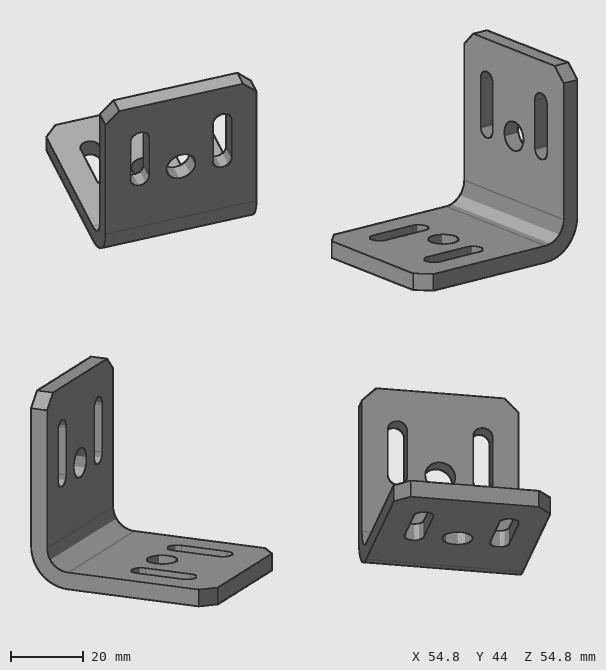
import cadquery as cq

length = 54.8
height = 54.75
width = 44.0
thickness = 4.9
inner_bend_radius = 6.3
outer_bend_radius = inner_bend_radius + thickness
corner_chamfer = 4.0

hole_diameter = 8.4
hole_from_end = 25.1
slot_length = 19.2
slot_width = 5.4
slot_from_end = 19.05
slot_spacing = 24.0



def bent_strip():
    """L-shaped strip with a concentric inner and outer bend."""
    block = cq.Workplane("XY").box(length, width, height, centered=(False, True, False))
    block = block.edges("|Y and >X and <Z").fillet(outer_bend_radius)
    inside = (
        cq.Workplane("XY")
        .box(length - thickness, width, height - thickness, centered=(False, True, False))
        .edges("|Y and >X and <Z")
        .fillet(inner_bend_radius)
        .translate((0, 0, thickness))
    )
    return block.cut(inside)


def leg_cutter(end_plane):
    """Round hole and two slots; the plane's X axis runs inward from the free end."""
    hole = (
        cq.Workplane(end_plane)
        .center(hole_from_end, 0)
        .circle(hole_diameter / 2)
        .extrude(thickness)
    )
    slots = (
        cq.Workplane(end_plane)
        .pushPoints([(slot_from_end, side * slot_spacing / 2) for side in (-1, 1)])
        .slot2D(slot_length, slot_width)
        .extrude(thickness)
    )
    return hole.union(slots)


horizontal_plane = cq.Plane(origin=(0, 0, 0), xDir=(1, 0, 0), normal=(0, 0, 1))
vertical_plane = cq.Plane(origin=(length, 0, height), xDir=(0, 0, -1), normal=(-1, 0, 0))

result = bent_strip()
result = result.faces("<X").edges("|Z").chamfer(corner_chamfer)
result = result.faces(">Z").edges("|X").chamfer(corner_chamfer)
for plane in (horizontal_plane, vertical_plane):
    result = result.cut(leg_cutter(plane))